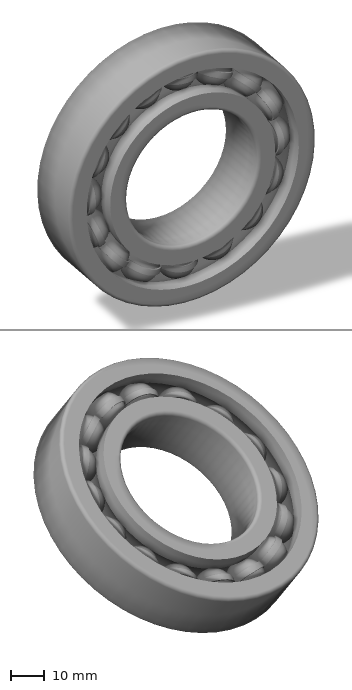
import cadquery as cq
import math

WIDTH = 19.0
OUTER_RADIUS = 42.5
BORE_RADIUS = 22.5
EDGE_FILLET = 1.1

BALL_COUNT = 16
BALL_RADIUS = 6.0
BALL_SPACING = 360 / BALL_COUNT
PITCH_RADIUS = (OUTER_RADIUS + BORE_RADIUS) / 2

SHOULDER_GAP = 8.1
OUTER_SHOULDER_RADIUS = PITCH_RADIUS + SHOULDER_GAP / 2
INNER_SHOULDER_RADIUS = PITCH_RADIUS - SHOULDER_GAP / 2

BALL_SEATING = 0.05
RACEWAY_DEPTH = BALL_RADIUS - BALL_SEATING - SHOULDER_GAP / 2
RACEWAY_HALF_WIDTH = math.sqrt(BALL_RADIUS**2 - (SHOULDER_GAP / 2) ** 2)

CAGE_BAND_HEIGHT = 2.0
CAGE_SHELL_THICKNESS = 0.5
CAGE_SHELL_RADIUS = BALL_RADIUS + CAGE_SHELL_THICKNESS


def race_ring(rim_radius, shoulder_radius):
    """Ring with rounded edges at the rim and a raceway groove in the shoulder facing the balls."""
    half_width = WIDTH / 2
    inward = math.copysign(1, shoulder_radius - rim_radius)
    fillet_end = rim_radius + inward * EDGE_FILLET
    fillet_bulge = EDGE_FILLET * (1 - math.sqrt(0.5))
    fillet_mid_radius = rim_radius + inward * fillet_bulge
    raceway_floor = shoulder_radius - inward * RACEWAY_DEPTH
    profile = (
        cq.Workplane("XZ")
        .moveTo(-half_width + EDGE_FILLET, rim_radius)
        .lineTo(half_width - EDGE_FILLET, rim_radius)
        .threePointArc((half_width - fillet_bulge, fillet_mid_radius), (half_width, fillet_end))
        .lineTo(half_width, shoulder_radius)
        .lineTo(RACEWAY_HALF_WIDTH, shoulder_radius)
        .threePointArc((0, raceway_floor), (-RACEWAY_HALF_WIDTH, shoulder_radius))
        .lineTo(-half_width, shoulder_radius)
        .lineTo(-half_width, fillet_end)
        .threePointArc(
            (-half_width + fillet_bulge, fillet_mid_radius),
            (-half_width + EDGE_FILLET, rim_radius),
        )
    )
    return profile.close().revolve(360, (0, 0, 0), (1, 0, 0))


def sphere_on_pitch_circle(radius):
    """Sphere at the +Z ball position, with its poles on the radial line."""
    return (
        cq.Workplane("XZ", origin=(0, 0, PITCH_RADIUS))
        .moveTo(0, radius)
        .threePointArc((-radius, 0), (0, -radius))
        .close()
        .revolve(360, (0, 0, 0), (0, 1, 0))
    )


def cage_band():
    """Plain band on the pitch circle, before it is trimmed to the ball shells."""
    return (
        cq.Workplane("YZ", origin=(-WIDTH / 2, 0, 0))
        .circle(PITCH_RADIUS + CAGE_BAND_HEIGHT / 2)
        .circle(PITCH_RADIUS - CAGE_BAND_HEIGHT / 2)
        .extrude(WIDTH)
    )


def ball_with_cage_shell():
    """The +Z ball, wrapped by its share of the cage."""
    shell = cage_band().intersect(sphere_on_pitch_circle(CAGE_SHELL_RADIUS))
    return sphere_on_pitch_circle(BALL_RADIUS).union(shell)


result = race_ring(OUTER_RADIUS, OUTER_SHOULDER_RADIUS)
result = result.union(race_ring(BORE_RADIUS, INNER_SHOULDER_RADIUS))
caged_ball = ball_with_cage_shell()
for index in range(BALL_COUNT):
    result = result.union(caged_ball.rotate((0, 0, 0), (1, 0, 0), index * BALL_SPACING))